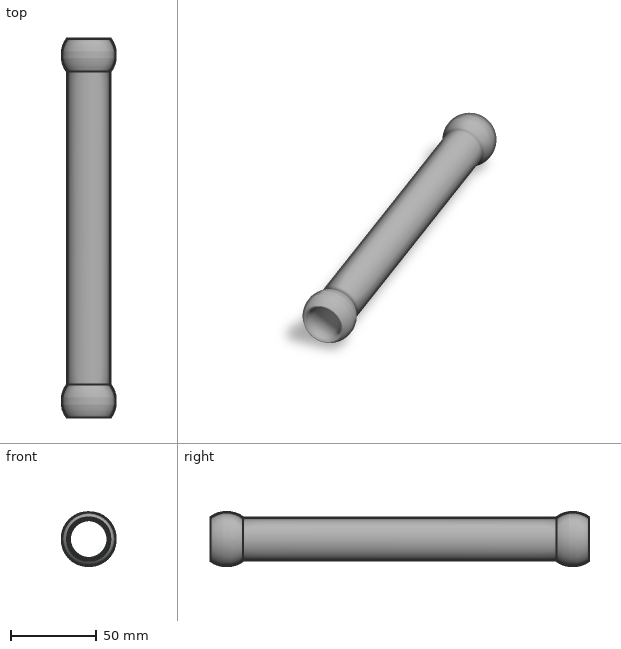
import math

import cadquery as cq

length = 222.2
bore_diameter = 22.2
tube_diameter = 25.3
collar_diameter = 31.5
band_width = 4.0
bore_chamfer = 1.0

bore_radius = bore_diameter / 2
tube_radius = tube_diameter / 2
collar_radius = collar_diameter / 2
half_length = length / 2
half_band = band_width / 2

sphere_radius = math.hypot(collar_radius, half_band)
collar_half_length = math.sqrt(sphere_radius**2 - tube_radius**2)
collar_center = half_length - collar_half_length


def sphere_point(offset):
    """Profile point on the collar sphere, at an axial offset from its center."""
    return (math.sqrt(sphere_radius**2 - offset**2), collar_center + offset)


def mirrored(point):
    """Matching profile point at the -Y end."""
    radius, axial = point
    return (radius, -axial)


arc_middle = (half_band + collar_half_length) / 2
inner_face = sphere_point(-collar_half_length)
inner_arc = sphere_point(-arc_middle)
band_start = sphere_point(-half_band)
band_end = sphere_point(half_band)
outer_arc = sphere_point(arc_middle)
outer_face = sphere_point(collar_half_length)

mouth = (bore_radius + bore_chamfer, half_length)
bore_end = (bore_radius, half_length - bore_chamfer)

wall = (
    cq.Workplane("XY")
    .moveTo(*mirrored(bore_end))
    .lineTo(*mirrored(mouth))
    .lineTo(*mirrored(outer_face))
    .threePointArc(mirrored(outer_arc), mirrored(band_end))
    .lineTo(*mirrored(band_start))
    .threePointArc(mirrored(inner_arc), mirrored(inner_face))
    .lineTo(*inner_face)
    .threePointArc(inner_arc, band_start)
    .lineTo(*band_end)
    .threePointArc(outer_arc, outer_face)
    .lineTo(*mouth)
    .lineTo(*bore_end)
    .close()
)

result = wall.revolve(360, (0, 0, 0), (0, 1, 0))